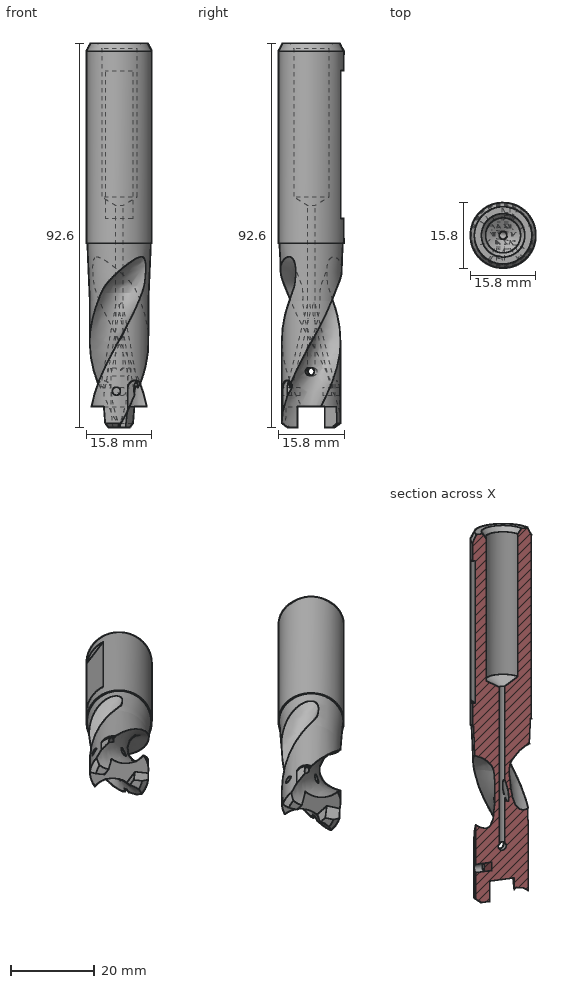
import cadquery as cq
import math

total_length = 92.6
shank_radius = 7.92
shank_bottom = 44.45
shank_chamfer_radial = 1.0
shank_chamfer_height = 1.9
neck_top_radius = 7.7
neck_bottom = 30.6
head_radius = 7.085

flat_bottom = 50.4
flat_top = 85.9
flat_depth = 0.7

bore_radius = 4.21
bore_mouth_radius = 5.23
bore_mouth_depth = 1.3
bore_depth = 37.0
drill_point_angle = 118.0
coolant_radius = 0.9

outlet_radius = 0.97
outlet_z = 13.5
outlet_angle = -8.0

flute_profile_radius = 5.5
flute_root_radius = 2.0
flute_twist_rate = 4.427
flute_start_angle = -227.0
flute_runout_bottom = 32.4
flute_runout_top = 42.6
flute_runout_slope = 0.75
flute_runout_blend = 2.8
flute_runout_steps = 9

seat_width = 6.5
seat_height = 5.1
prong_half_width = 3.7
prong_taper = 0.6
prong_side_angle = 30.0
tip_chamfer_height = 1.1
tip_chamfer_radial = 1.5

pocket_angle = -56.5
pocket_half_width = 2.0
pocket_top = 11.4
nozzle_radius = 0.6
nozzle_exit_radius = 6.7
nozzle_exit_z = 9.4
nozzle_exit_angle = -53.0
nozzle_tilt = 17.0

screw_radius = 0.97
screw_x = -0.65
screw_z = 8.8
screw_hole_end_y = -2.8
screw_length = 2.0

margin = 0.9
side_angles = (0.0, 180.0)


def turn(shape, angle):
    """Rotate a shape about the drill axis."""
    return shape.rotate((0, 0, 0), (0, 0, 1), angle)


def cylinder_along_y(radius, x, z, start_y, end_y):
    """Cylinder parallel to Y between two Y positions."""
    return cq.Workplane("XZ", origin=(x, start_y, z)).circle(radius).extrude(start_y - end_y)


def turned_blank():
    """Shank, tapered neck and head as one revolved shape with a chamfered tip."""
    return (
        cq.Workplane("XZ")
        .polyline(
            [
                (0, 0),
                (head_radius - tip_chamfer_radial, 0),
                (head_radius, tip_chamfer_height),
                (head_radius, neck_bottom),
                (neck_top_radius, shank_bottom),
                (shank_radius, shank_bottom),
                (shank_radius, total_length - shank_chamfer_height),
                (shank_radius - shank_chamfer_radial, total_length),
                (0, total_length),
            ]
        )
        .close()
        .revolve(360, (0, 0, 0), (0, 1, 0))
    )


def clamping_flat():
    """Block that leaves a flat on the +Y side of the shank."""
    width = 2 * shank_radius
    height = flat_top - flat_bottom
    return cq.Workplane(
        "XY", origin=(0, shank_radius - flat_depth + width / 2, flat_bottom)
    ).box(width, width, height, centered=(True, True, False))


def coolant_bore():
    """Stepped bore with a mouth chamfer, a conical floor and a narrow channel."""
    floor_z = total_length - bore_depth
    cone_height = (bore_radius - coolant_radius) / math.tan(math.radians(drill_point_angle / 2))
    return (
        cq.Workplane("XZ")
        .polyline(
            [
                (0, outlet_z),
                (coolant_radius, outlet_z),
                (coolant_radius, floor_z - cone_height),
                (bore_radius, floor_z),
                (bore_radius, total_length - bore_mouth_depth),
                (bore_mouth_radius, total_length),
                (0, total_length),
            ]
        )
        .close()
        .revolve(360, (0, 0, 0), (0, 1, 0))
    )


def coolant_outlet():
    """Cross hole through the web between the flutes."""
    length = 2 * head_radius
    hole = cq.Workplane("YZ", origin=(0, 0, outlet_z)).circle(outlet_radius).extrude(length / 2, both=True)
    return turn(hole, outlet_angle)


def runout_shift(z):
    """Outward shift of the flute profile: a parabolic start, then a straight ramp."""
    rise = z - flute_runout_bottom
    if rise < flute_runout_blend:
        return flute_runout_slope * rise**2 / (2 * flute_runout_blend)
    return flute_runout_slope * (rise - flute_runout_blend / 2)


def flute_section(z):
    """Round flute profile at a height in the runout."""
    centre = cq.Vector(flute_root_radius + flute_profile_radius + runout_shift(z), 0, z)
    profile = cq.Wire.makeCircle(flute_profile_radius, centre, cq.Vector(0, 0, 1))
    return turn(profile, flute_start_angle + flute_twist_rate * z)


def flute_helix():
    """Flute of constant depth, from below the tip to the start of the runout."""
    length = flute_runout_bottom + margin
    helix = (
        cq.Workplane("XY", origin=(0, 0, -margin))
        .pushPoints([(flute_root_radius + flute_profile_radius, 0)])
        .circle(flute_profile_radius)
        .twistExtrude(length, flute_twist_rate * length)
    )
    return turn(helix, flute_start_angle - flute_twist_rate * margin)


def flute_runout():
    """Upper end of the flute, where it rises out of the neck."""
    step = (flute_runout_top - flute_runout_bottom) / flute_runout_steps
    heights = [flute_runout_bottom + i * step for i in range(flute_runout_steps + 1)]
    return cq.Workplane(cq.Solid.makeLoft([flute_section(z) for z in heights]))


def prong_outline(inset):
    """Plan of the -Y prong: slot side, slanted side on -X, straight side on +X."""
    slot_y = -seat_width / 2
    outer_y = -2 * head_radius
    corner_y = -math.sqrt(head_radius**2 - prong_half_width**2)
    slant = math.tan(math.radians(prong_side_angle))
    corner_x = inset - prong_half_width
    return [
        (corner_x + (slot_y - corner_y) * slant, slot_y),
        (prong_half_width, slot_y),
        (prong_half_width, outer_y),
        (corner_x + (outer_y - corner_y) * slant, outer_y),
    ]


def prong_block():
    """Space kept for the -Y prong, narrower at the tip."""
    return (
        cq.Workplane("XY")
        .polyline(prong_outline(prong_taper))
        .close()
        .workplane(offset=seat_height)
        .polyline(prong_outline(0))
        .close()
        .loft(ruled=True)
    )


def insert_seat():
    """Material below the shelf, without the two prongs that stay."""
    size = 4 * head_radius
    seat = cq.Workplane("XY", origin=(0, 0, -margin)).box(
        size, size, seat_height + margin, centered=(True, True, False)
    )
    for angle in side_angles:
        seat = seat.cut(turn(prong_block(), angle))
    return seat


def prong_pocket():
    """Round-topped cutter whose flat floor is a chord of the head."""
    floor_distance = math.sqrt(head_radius**2 - pocket_half_width**2)
    arc_z = pocket_top - pocket_half_width
    cutter = (
        cq.Workplane("YZ", origin=(floor_distance, 0, 0))
        .moveTo(-pocket_half_width, -margin)
        .lineTo(-pocket_half_width, arc_z)
        .threePointArc((0, pocket_top), (pocket_half_width, arc_z))
        .lineTo(pocket_half_width, -margin)
        .close()
        .extrude(head_radius)
    )
    return turn(cutter, pocket_angle)


def coolant_nozzle():
    """Slanted channel from the central channel down to the pocket floor."""
    tilt = math.radians(nozzle_tilt)
    inward_length = nozzle_exit_radius / math.sin(tilt)
    outward_length = 2 * head_radius
    top_z = nozzle_exit_z + inward_length * math.cos(tilt)
    direction = cq.Vector(math.sin(tilt), 0, -math.cos(tilt))
    channel = cq.Solid.makeCylinder(
        nozzle_radius, inward_length + outward_length, cq.Vector(0, 0, top_z), direction
    )
    return turn(cq.Workplane(channel), nozzle_exit_angle)


def make_holder():
    holder = turned_blank()
    holder = holder.cut(clamping_flat())
    for angle in side_angles:
        holder = holder.cut(turn(flute_helix(), angle))
        holder = holder.cut(turn(flute_runout(), angle))
    holder = holder.cut(insert_seat())
    holder = holder.cut(coolant_bore())
    holder = holder.cut(coolant_outlet())
    screw_hole = cylinder_along_y(screw_radius, screw_x, screw_z, screw_hole_end_y, -2 * head_radius)
    for angle in side_angles:
        holder = holder.cut(turn(prong_pocket(), angle))
        holder = holder.cut(turn(coolant_nozzle(), angle))
        holder = holder.cut(turn(screw_hole, angle))
    return holder


def make_screw(angle):
    """Headless screw at the bottom of its hole."""
    end_y = screw_hole_end_y - screw_length
    return turn(cylinder_along_y(screw_radius, screw_x, screw_z, screw_hole_end_y, end_y), angle)


holder = make_holder()
screws = [make_screw(angle) for angle in side_angles]

result = cq.Compound.makeCompound([holder.val(), *[screw.val() for screw in screws]])